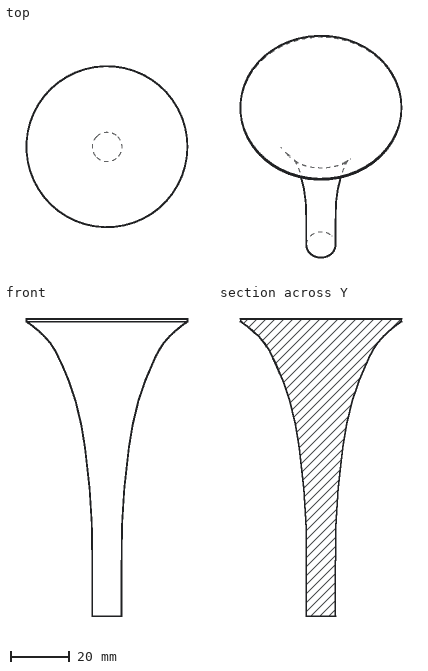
import cadquery as cq

height = 101.4
rim_diameter = 55.0
stem_diameter = 10.0
stem_length = 16.2
rim_thickness = 0.9

rim_radius = rim_diameter / 2
stem_radius = stem_diameter / 2
rim_bottom = height - rim_thickness

flare_points = [
    (5.4, 35.5),
    (6.8, 51.7),
    (9.0, 66.4),
    (12.1, 77.6),
    (15.3, 85.7),
    (19.5, 93.3),
]
stem_direction = (0, 1)
rim_direction = (1, 0.7)

profile = (
    cq.Workplane("XZ")
    .lineTo(stem_radius, 0)
    .lineTo(stem_radius, stem_length)
    .spline(
        flare_points + [(rim_radius, rim_bottom)],
        tangents=[stem_direction, rim_direction],
        includeCurrent=True,
    )
    .lineTo(rim_radius, height)
    .lineTo(0, height)
    .close()
)

result = profile.revolve(360, (0, 0, 0), (0, 1, 0))